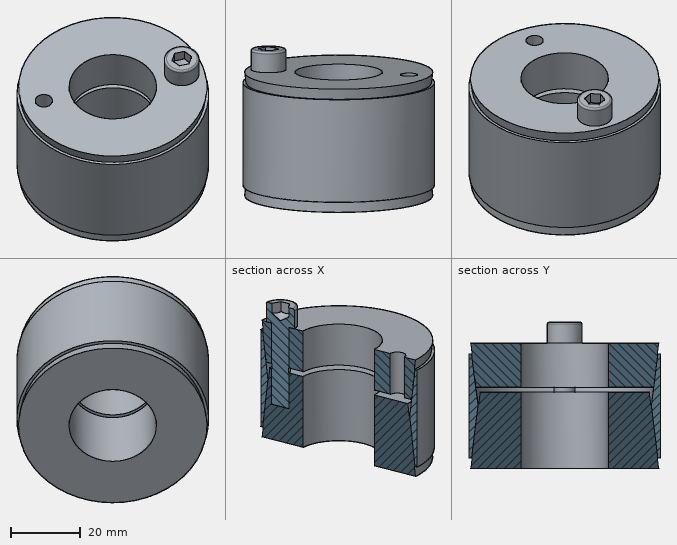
import cadquery as cq
import math

SLEEVE_DIAMETER = 55.0
STACK_HEIGHT = 35.95
CONE_PROTRUSION = 3.0
CONE_DIAMETER = 54.0
CONE_TAPER_ANGLE = 7.0
BORE_DIAMETER = 25.0
UPPER_CONE_HEIGHT = 12.65
CONE_GAP = 1.4
LOWER_CONE_HEIGHT = STACK_HEIGHT - UPPER_CONE_HEIGHT - CONE_GAP

HOLE_OFFSET = 20.5
JACKING_HOLE_DIAMETER = 4.9
SCREW_DIAMETER = 6.0
SCREW_LENGTH = 25.0
HEAD_DIAMETER = 10.0
HEAD_HEIGHT = 6.05
HEAD_FILLET = 0.6
SOCKET_ACROSS_FLATS = 5.0
SOCKET_DEPTH = 3.0
SOCKET_POINT_ANGLE = 120.0

BORE_RADIUS = BORE_DIAMETER / 2
HEAD_TOP = STACK_HEIGHT + HEAD_HEIGHT
SCREW_TIP = STACK_HEIGHT - SCREW_LENGTH


def cone_radius(distance):
    """Cone radius at a distance inward from its outer face."""
    return CONE_DIAMETER / 2 - distance * math.tan(math.radians(CONE_TAPER_ANGLE))


def revolve_profile(points):
    """Revolve a closed radius-height outline about the Z axis."""
    return cq.Workplane("XZ").polyline(points).close().revolve(360, (0, 0), (0, 1))


def vertical_cylinder(diameter, y, bottom, top):
    return cq.Workplane("XY", origin=(0, y, bottom)).circle(diameter / 2).extrude(top - bottom)


def make_sleeve():
    """Cylindrical sleeve with a bore tapering from both ends to a central waist."""
    outer_radius = SLEEVE_DIAMETER / 2
    mouth_radius = cone_radius(CONE_PROTRUSION)
    bottom = CONE_PROTRUSION
    middle = STACK_HEIGHT / 2
    top = STACK_HEIGHT - CONE_PROTRUSION
    return revolve_profile([
        (outer_radius, bottom),
        (outer_radius, top),
        (mouth_radius, top),
        (cone_radius(middle), middle),
        (mouth_radius, bottom),
    ])


def make_cone(outer_z, inner_z):
    """Bored cone, widest at its outer face."""
    return revolve_profile([
        (BORE_RADIUS, outer_z),
        (cone_radius(0), outer_z),
        (cone_radius(abs(outer_z - inner_z)), inner_z),
        (BORE_RADIUS, inner_z),
    ])


def make_screw_shank():
    return vertical_cylinder(SCREW_DIAMETER, HOLE_OFFSET, SCREW_TIP, STACK_HEIGHT)


def make_upper_cone():
    bottom = STACK_HEIGHT - UPPER_CONE_HEIGHT
    jacking_hole = vertical_cylinder(JACKING_HOLE_DIAMETER, -HOLE_OFFSET, bottom, STACK_HEIGHT)
    return make_cone(STACK_HEIGHT, bottom).cut(make_screw_shank()).cut(jacking_hole)


def make_lower_cone():
    return make_cone(0, LOWER_CONE_HEIGHT).cut(make_screw_shank())


def make_socket():
    """Hexagonal recess, corners along Y, ending in a conical drill point."""
    corner_radius = SOCKET_ACROSS_FLATS / math.sqrt(3)
    point_depth = corner_radius / math.tan(math.radians(SOCKET_POINT_ANGLE / 2))
    floor_rim = HEAD_TOP - SOCKET_DEPTH
    hexagon = (
        cq.Workplane("XY", origin=(0, 0, HEAD_TOP))
        .transformed(rotate=(0, 0, 90))
        .polygon(6, 2 * corner_radius)
        .extrude(-(SOCKET_DEPTH + point_depth))
    )
    drill = revolve_profile([
        (0, floor_rim - point_depth),
        (corner_radius, floor_rim),
        (corner_radius, HEAD_TOP),
        (0, HEAD_TOP),
    ])
    return hexagon.intersect(drill).translate((0, HOLE_OFFSET, 0))


def make_screw():
    head = vertical_cylinder(HEAD_DIAMETER, HOLE_OFFSET, STACK_HEIGHT, HEAD_TOP)
    head = head.faces(">Z").edges().fillet(HEAD_FILLET)
    return head.union(make_screw_shank()).cut(make_socket())


sleeve = make_sleeve()
upper_cone = make_upper_cone()
lower_cone = make_lower_cone()
screw = make_screw()

result = cq.Compound.makeCompound([
    sleeve.solids().val(),
    upper_cone.solids().val(),
    lower_cone.solids().val(),
    screw.solids().val(),
])